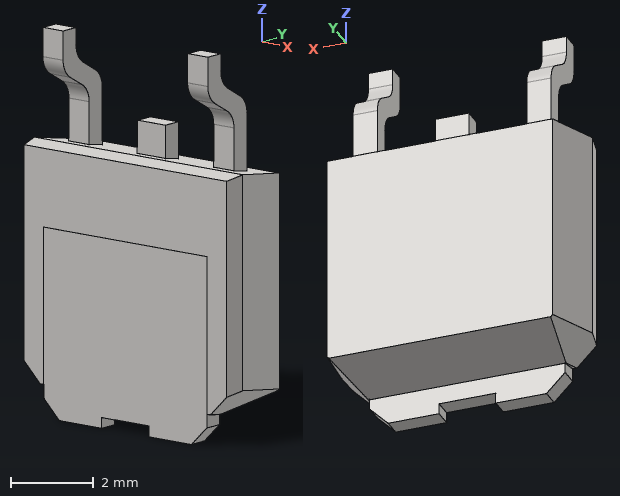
import cadquery as cq
import math

housing_width = 6.5
housing_depth = 2.3
housing_bottom = 0.73
housing_top = 6.76
parting_y = 0.5
draft_angle = 10.0
corner_chamfer = 0.69

metal_thickness = 0.5
lead_back_y = 1.5
lead_front_y = lead_back_y - metal_thickness
lead_embed_bottom = 5.6

overall_height = 9.66
lead_width = 0.64
lead_spacing = 4.51
bend_angle = 60.0
bend_radius = 0.54
bend_middle_z = 8.34

pad_width = 5.08
pad_top = 4.72
tab_chamfer = 0.48
notch_width = 1.47
notch_depth = 0.27
stub_width = 0.88
stub_top = 7.5
stub_bottom = pad_top - metal_thickness


def box_between(width, y_min, y_max, z_min, z_max):
    """Box centred on X, spanning the given Y and Z ranges."""
    return cq.Workplane("XY").box(
        width, y_max - y_min, z_max - z_min, centered=(True, False, False)
    ).translate((0, y_min, z_min))


def drafted_half(distance):
    """Half of the housing, narrowing from the parting plane by a signed distance along Y."""
    return (
        cq.Workplane("XZ", origin=(0, parting_y, (housing_bottom + housing_top) / 2))
        .rect(housing_width, housing_top - housing_bottom)
        .extrude(-distance, taper=draft_angle)
    )


def corner_cutter(side):
    """Triangular prism that removes one lower corner straight along Y."""
    edge_x = side * housing_width / 2
    return (
        cq.Workplane("XZ")
        .moveTo(edge_x, housing_bottom)
        .lineTo(edge_x - side * corner_chamfer, housing_bottom)
        .lineTo(edge_x, housing_bottom + corner_chamfer)
        .close()
        .extrude(-housing_depth)
    )


def make_housing_blank():
    """Drafted housing before the recesses for the metal parts."""
    blank = drafted_half(-parting_y).union(drafted_half(housing_depth - parting_y))
    for side in (-1, 1):
        blank = blank.cut(corner_cutter(side))
    return blank


def make_tab():
    """Notched pad, the riser behind it and the cropped centre lead."""
    pad = box_between(pad_width, 0, metal_thickness, 0, pad_top)
    pad = pad.edges("|Y and <Z").chamfer(tab_chamfer)
    notch = box_between(notch_width, 0, metal_thickness, 0, notch_depth)
    riser = box_between(stub_width, 0, lead_back_y, stub_bottom, pad_top)
    stub = box_between(stub_width, lead_front_y, lead_back_y, stub_bottom, stub_top)
    return pad.cut(notch).union(riser).union(stub)


def make_lead(center_x):
    """Lead stepping from inside the housing forward to the mounting plane."""
    slope = math.radians(90 - bend_angle)
    half_rise = lead_front_y / 2 * math.tan(slope)
    front_low = bend_middle_z - half_rise
    front_high = bend_middle_z + half_rise
    back_shift = metal_thickness * math.tan(math.radians(bend_angle / 2))
    tangent = bend_radius * math.tan(math.radians(bend_angle / 2))
    lead = (
        cq.Workplane("YZ", origin=(center_x, 0, 0))
        .moveTo(lead_front_y, lead_embed_bottom)
        .lineTo(lead_front_y, front_low)
        .lineTo(0, front_high)
        .lineTo(0, overall_height)
        .lineTo(metal_thickness, overall_height)
        .lineTo(metal_thickness, front_high + back_shift)
        .lineTo(lead_back_y, front_low + back_shift)
        .lineTo(lead_back_y, lead_embed_bottom)
        .close()
        .extrude(lead_width / 2, both=True)
    )
    bends = cq.selectors.BoxSelector(
        (center_x - lead_width, -metal_thickness, front_low - tangent),
        (center_x + lead_width, lead_back_y + metal_thickness, front_high + back_shift + tangent),
    )
    return lead.edges("|X").edges(bends).fillet(bend_radius)


tab = make_tab()
leads = [make_lead(side * lead_spacing / 2) for side in (-1, 1)]

housing = make_housing_blank().cut(tab)
for lead in leads:
    housing = housing.cut(lead)

solids = [body.solids().val() for body in (housing, tab, *leads)]
result = cq.Compound.makeCompound(solids)